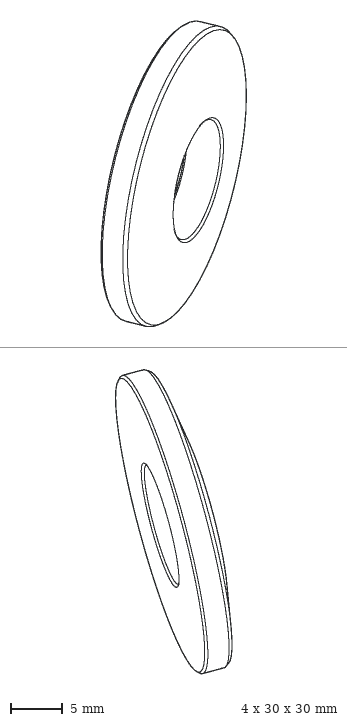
import cadquery as cq

outer_diameter = 30.0
thickness = 4.0
bore_diameter = 12.0
edge_chamfer = 0.25
rim_end = 2.4
shoulder_end = 2.8
shoulder_drop = 0.27
crown_diameter = 18.6

outer_radius = outer_diameter / 2
bore_radius = bore_diameter / 2
crown_radius = crown_diameter / 2

half_section = (
    cq.Workplane("XY")
    .moveTo(0, bore_radius + edge_chamfer)
    .lineTo(0, outer_radius - edge_chamfer)
    .lineTo(edge_chamfer, outer_radius)
    .lineTo(rim_end, outer_radius)
    .lineTo(shoulder_end, outer_radius - shoulder_drop)
    .lineTo(thickness, crown_radius)
    .lineTo(thickness, bore_radius + edge_chamfer)
    .lineTo(thickness - edge_chamfer, bore_radius)
    .lineTo(edge_chamfer, bore_radius)
    .close()
)

result = half_section.revolve(360, (0, 0, 0), (1, 0, 0))